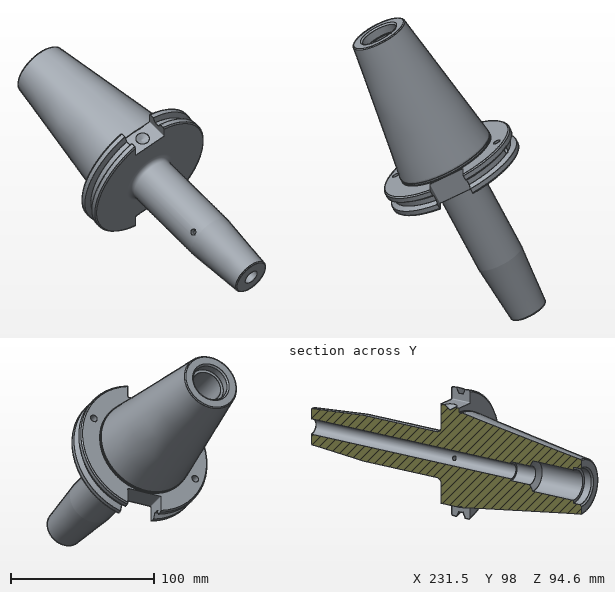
import cadquery as cq
import math

total_length = 231.5
gauge_x = 101.7
flange_start_x = 104.7
flange_end_x = 120.7

taper_per_length = 7 / 24
gauge_radius = 35.0
small_radius = gauge_radius - gauge_x * taper_per_length / 2
small_end_chamfer = 0.7
relief_radius = 34.5
relief_start_x = 102.8
relief_end_x = 104.2

flange_radius = 49.0
flange_chamfer = 1.0
flange_center_x = (flange_start_x + flange_end_x) / 2
groove_floor_radius = 45.5
groove_floor_width = 3.7
groove_wall_angle = 27

neck_radius = 34.0 / 2
neck_fillet = 3.5
nose_angle = 4.5
nose_tip_radius = 27.0 / 2
nose_chamfer = 0.7

through_diameter = 11.0
seat_diameter = 13.5
thread_diameter = 22.0
counterbore_diameter = 26.2
mouth_diameter = 28.5
mouth_depth = 1.2
counterbore_depth = 7.0
thread_end_x = 41.7
seat_end_x = 60.2
drill_point_angle = 118

slot_width = 25.7
slot_corner_radius = 0.7
upper_slot_floor = 38.0
lower_slot_floor = 35.2

dimple_diameter = 9.5

coolant_angle = 20
coolant_radius = 42.0
face_hole_diameter = 5.0
plug_hole_diameter = 4.2
feed_hole_diameter = 3.0
feed_hole_end_radius = 42.5

neck_hole_x = 182.7
neck_hole_angle = 45
neck_hole_diameter = 4.2
neck_hole_depth = 4.2


def point_height(diameter):
    """Height of a drill point of the given diameter."""
    return diameter / 2 / math.tan(math.radians(drill_point_angle / 2))


def cylinder(diameter, start, direction, length):
    """Solid cylinder running from start along direction."""
    return cq.Workplane(
        obj=cq.Solid.makeCylinder(diameter / 2, length, cq.Vector(*start), cq.Vector(*direction))
    )


def make_body():
    """Solid of revolution: taper shank, relief, grooved flange, neck and nose."""
    groove_wall = (flange_radius - groove_floor_radius) * math.tan(math.radians(groove_wall_angle))
    floor_half = groove_floor_width / 2
    top_half = floor_half + groove_wall
    nose_length = (neck_radius - nose_tip_radius) / math.tan(math.radians(nose_angle))
    outline = (
        cq.Workplane("XY")
        .moveTo(0, 0)
        .lineTo(0, small_radius - small_end_chamfer)
        .lineTo(small_end_chamfer, small_radius + small_end_chamfer * taper_per_length / 2)
        .lineTo(gauge_x, gauge_radius)
        .lineTo(relief_start_x, gauge_radius)
        .lineTo(relief_start_x, relief_radius)
        .lineTo(relief_end_x, relief_radius)
        .lineTo(relief_end_x, gauge_radius)
        .lineTo(flange_start_x, gauge_radius)
        .lineTo(flange_start_x, flange_radius - flange_chamfer)
        .lineTo(flange_start_x + flange_chamfer, flange_radius)
        .lineTo(flange_center_x - top_half, flange_radius)
        .lineTo(flange_center_x - floor_half, groove_floor_radius)
        .lineTo(flange_center_x + floor_half, groove_floor_radius)
        .lineTo(flange_center_x + top_half, flange_radius)
        .lineTo(flange_end_x - flange_chamfer, flange_radius)
        .lineTo(flange_end_x, flange_radius - flange_chamfer)
        .lineTo(flange_end_x, neck_radius + neck_fillet)
        .radiusArc((flange_end_x + neck_fillet, neck_radius), -neck_fillet)
        .lineTo(total_length - nose_length, neck_radius)
        .lineTo(total_length - nose_chamfer, nose_tip_radius)
        .lineTo(total_length, nose_tip_radius - nose_chamfer)
        .lineTo(total_length, 0)
        .close()
    )
    return outline.revolve(360, (0, 0, 0), (1, 0, 0))


def make_bore():
    """Stepped through bore, cut as a solid of revolution."""
    points = [
        (0, 0),
        (0, mouth_diameter / 2),
        (mouth_depth, counterbore_diameter / 2),
        (counterbore_depth, counterbore_diameter / 2),
        (counterbore_depth, thread_diameter / 2),
        (thread_end_x, thread_diameter / 2),
        (thread_end_x + point_height(thread_diameter - seat_diameter), seat_diameter / 2),
        (seat_end_x, seat_diameter / 2),
        (seat_end_x, through_diameter / 2),
        (total_length, through_diameter / 2),
        (total_length, 0),
    ]
    return cq.Workplane("XY").polyline(points).close().revolve(360, (0, 0, 0), (1, 0, 0))


def make_slot(floor, side):
    """Drive slot from floor outward; side is +1 for the top and -1 for the bottom."""
    depth = flange_radius - floor
    return (
        cq.Workplane("XY")
        .box(flange_end_x - flange_start_x, slot_width, depth)
        .faces("<Z" if side > 0 else ">Z")
        .edges("|X")
        .fillet(slot_corner_radius)
        .translate((flange_center_x, 0, side * (floor + depth / 2)))
    )


def make_dimple():
    """Conical dimple in the middle of the upper slot floor."""
    tip_height = point_height(dimple_diameter)
    cone = cq.Solid.makeCone(
        0, dimple_diameter / 2, tip_height,
        cq.Vector(flange_center_x, 0, upper_slot_floor - tip_height), cq.Vector(0, 0, 1),
    )
    return cq.Workplane(obj=cone)


def make_coolant_holes(angle):
    """Flange face hole, with the stepped radial hole from the groove floor to the bore."""
    direction_y = math.cos(math.radians(angle))
    direction_z = math.sin(math.radians(angle))
    face_start = (flange_start_x, coolant_radius * direction_y, coolant_radius * direction_z)
    face_depth = flange_center_x - flange_start_x
    face_hole = cylinder(face_hole_diameter, face_start, (1, 0, 0), face_depth)
    radial_direction = (0, direction_y, direction_z)
    feed_start = (flange_center_x, 0, 0)
    feed_hole = cylinder(feed_hole_diameter, feed_start, radial_direction, feed_hole_end_radius)
    plug_start = (
        flange_center_x, feed_hole_end_radius * direction_y, feed_hole_end_radius * direction_z
    )
    plug_length = flange_radius - feed_hole_end_radius
    plug_hole = cylinder(plug_hole_diameter, plug_start, radial_direction, plug_length)
    return face_hole.union(feed_hole).union(plug_hole)


def make_neck_hole():
    """Short radial hole in the neck, between the -Y and +Z sides."""
    direction_y = -math.cos(math.radians(neck_hole_angle))
    direction_z = math.sin(math.radians(neck_hole_angle))
    bottom_radius = neck_radius - neck_hole_depth
    start = (neck_hole_x, bottom_radius * direction_y, bottom_radius * direction_z)
    return cylinder(neck_hole_diameter, start, (0, direction_y, direction_z), 2 * neck_hole_depth)


result = make_body().cut(make_bore())
result = result.cut(make_slot(upper_slot_floor, 1)).cut(make_slot(lower_slot_floor, -1))
result = result.cut(make_dimple())
for hole_angle in (coolant_angle, coolant_angle + 180):
    result = result.cut(make_coolant_holes(hole_angle))
result = result.cut(make_neck_hole())